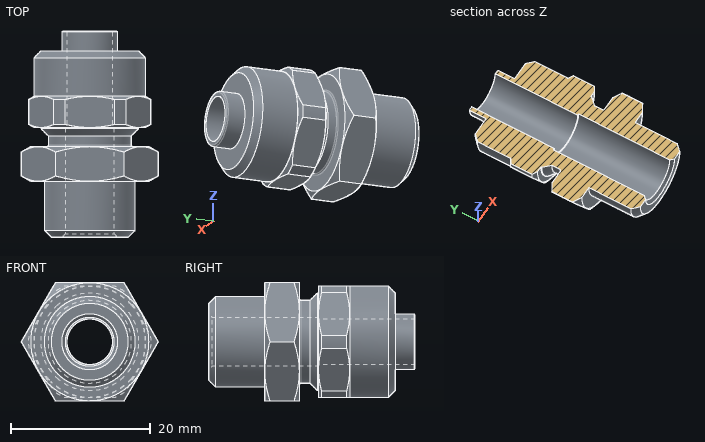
import cadquery as cq
import math

BODY_HEX_START = 8.0
BODY_HEX_END = 13.0
NECK_END = 14.5
NUT_HEX_START = 15.7
NUT_HEX_END = 20.2
NUT_END = 26.7
FITTING_LENGTH = 29.5

THREAD_DIAMETER = 13.0
THREAD_CHAMFER = 1.0
NECK_DIAMETER = 11.9
NECK_ROOT_RADIUS = 0.2
COLLAR_DIAMETER = 14.0
NUT_DIAMETER = 16.0
NUT_CHAMFER = 1.0
TUBE_DIAMETER = 8.0
TUBE_EDGE_RADIUS = 0.2

BODY_ACROSS_FLATS = 17.0
BODY_FACE_DIAMETER = 16.9
NUT_ACROSS_FLATS = 16.0
NUT_FACE_DIAMETER = 15.9
NUT_CORNER_DIAMETER = 17.5
HEX_CHAMFER_ANGLE = 30.0
HEX_SIDES = 6

BORE_DIAMETER = 7.0
BORE_CHAMFER = 0.5
TUBE_BORE_DIAMETER = 6.5
BORE_STEP = NUT_HEX_START


def revolve_about_axis(profile):
    """Revolve a closed (radius, y) profile about the Y axis."""
    return cq.Workplane("XY").polyline(profile).close().revolve(360, (0, 0, 0), (0, 1, 0))


def across_points(across_flats):
    """Distance between opposite corners of a hexagon."""
    return across_flats / math.cos(math.pi / HEX_SIDES)


def chamfered_hexagon(across_flats, corner_diameter, face_diameter, start, end):
    """Hexagon with corners on X, turned to a corner diameter and coned at both faces."""
    hexagon = (
        cq.Workplane("XZ", origin=(0, start, 0))
        .polygon(HEX_SIDES, across_points(across_flats))
        .extrude(start - end)
    )
    face_radius = face_diameter / 2
    corner_radius = corner_diameter / 2
    cone_length = (corner_radius - face_radius) * math.tan(math.radians(HEX_CHAMFER_ANGLE))
    turned_envelope = revolve_about_axis([
        (0, start),
        (face_radius, start),
        (corner_radius, start + cone_length),
        (corner_radius, end - cone_length),
        (face_radius, end),
        (0, end),
    ])
    return hexagon.intersect(turned_envelope)


def turned_body():
    """All the round outside surfaces, from the threaded end to the tube end."""
    thread_radius = THREAD_DIAMETER / 2
    neck_radius = NECK_DIAMETER / 2
    collar_radius = COLLAR_DIAMETER / 2
    nut_radius = NUT_DIAMETER / 2
    tube_radius = TUBE_DIAMETER / 2
    collar_cone_end = NECK_END + collar_radius - neck_radius
    return revolve_about_axis([
        (0, 0),
        (thread_radius - THREAD_CHAMFER, 0),
        (thread_radius, THREAD_CHAMFER),
        (thread_radius, BODY_HEX_END),
        (neck_radius, BODY_HEX_END),
        (neck_radius, NECK_END),
        (collar_radius, collar_cone_end),
        (collar_radius, NUT_HEX_END),
        (nut_radius, NUT_HEX_END),
        (nut_radius, NUT_END - NUT_CHAMFER),
        (nut_radius - NUT_CHAMFER, NUT_END),
        (tube_radius, NUT_END),
        (tube_radius, FITTING_LENGTH),
        (0, FITTING_LENGTH),
    ]).faces(">Y").edges().fillet(TUBE_EDGE_RADIUS)


def passage():
    """Stepped through bore with a chamfered mouth at the threaded end."""
    bore_radius = BORE_DIAMETER / 2
    tube_bore_radius = TUBE_BORE_DIAMETER / 2
    return revolve_about_axis([
        (0, 0),
        (bore_radius + BORE_CHAMFER, 0),
        (bore_radius, BORE_CHAMFER),
        (bore_radius, BORE_STEP),
        (tube_bore_radius, BORE_STEP),
        (tube_bore_radius, FITTING_LENGTH),
        (0, FITTING_LENGTH),
    ])


def fillet_neck_root(fitting):
    """Round the inside corner where the neck meets the body hexagon."""
    neck_radius = NECK_DIAMETER / 2
    root_edges = cq.selectors.BoxSelector(
        (-neck_radius, BODY_HEX_END - NECK_ROOT_RADIUS, -neck_radius),
        (neck_radius, BODY_HEX_END + NECK_ROOT_RADIUS, neck_radius),
        boundingbox=False,
    )
    smallest_circle = cq.selectors.RadiusNthSelector(0)
    return fitting.edges("%CIRCLE").edges(root_edges).edges(smallest_circle).fillet(NECK_ROOT_RADIUS)


body_hexagon = chamfered_hexagon(
    BODY_ACROSS_FLATS, across_points(BODY_ACROSS_FLATS), BODY_FACE_DIAMETER, BODY_HEX_START, BODY_HEX_END
)
nut_hexagon = chamfered_hexagon(
    NUT_ACROSS_FLATS, NUT_CORNER_DIAMETER, NUT_FACE_DIAMETER, NUT_HEX_START, NUT_HEX_END
)

solid_fitting = turned_body().union(body_hexagon).union(nut_hexagon)
result = fillet_neck_root(solid_fitting).cut(passage())